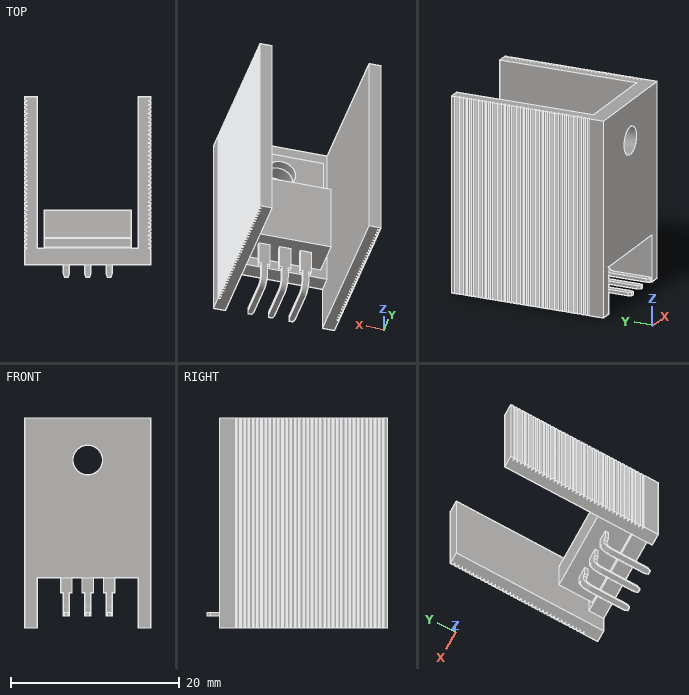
import cadquery as cq
import math

SINK_WIDTH = 15.0
SINK_DEPTH = 20.0
SINK_HEIGHT = 25.0
WALL = 1.5
BASE = 2.0
NOTCH_HEIGHT = 6.0
INNER_WIDTH = SINK_WIDTH - 2 * WALL

GROOVE_PITCH = 0.5
GROOVE_DEPTH = 0.3
GROOVE_ANGLE = 35.0
GROOVE_COUNT = 36
GROOVE_MOUTH = 2 * GROOVE_DEPTH * math.tan(math.radians(GROOVE_ANGLE / 2))

HOLE_DIAMETER = 3.5
HOLE_HEIGHT = 20.0

PACKAGE_WIDTH = 10.4
PACKAGE_THICKNESS = 4.5
PACKAGE_BOTTOM = 7.25
PACKAGE_TOP = 16.5
PACKAGE_DRAFT = 7.0
TAB_THICKNESS = 1.25
TAB_TOP = 22.75
TAB_CHAMFER = 0.1
TAB_FRONT = BASE + TAB_THICKNESS
PACKAGE_FRONT = BASE + PACKAGE_THICKNESS

LEAD_PITCH = 2.55
LEAD_COUNT = 3
LEAD_WIDTH = 0.75
LEAD_THICKNESS = 0.42
LEAD_BOTTOM = 1.45
LEAD_BACK = 4.85
LEAD_TIP = -1.5
BEND_INNER_RADIUS = 0.98
BEND_OUTER_RADIUS = BEND_INNER_RADIUS + LEAD_THICKNESS
SHOULDER_WIDTH = 1.38
SHOULDER_BOTTOM = 4.2
TIP_TAPER_LENGTH = 0.45
TIP_TAPER_SIDE = 0.15


def box(x_size, y_range, z_range):
    """Block centred on X = 0 that spans the given Y and Z ranges."""
    (y0, y1), (z0, z1) = y_range, z_range
    block = cq.Workplane("XY").box(x_size, y1 - y0, z1 - z0, centered=(True, False, False))
    return block.translate((0, y0, z0))


def screw_hole(y_end):
    """Cylinder along Y from Y = 0, the outer face of the base, to y_end."""
    return cq.Workplane("XZ").center(0, HOLE_HEIGHT).circle(HOLE_DIAMETER / 2).extrude(-y_end)


def sink_profile():
    """Plan outline of the U, with the grooves cut into both outer sides."""
    half = SINK_WIDTH / 2
    right_half = [(half, 0)]
    for i in range(GROOVE_COUNT):
        y = BASE + i * GROOVE_PITCH
        right_half += [
            (half, y - GROOVE_MOUTH / 2),
            (half - GROOVE_DEPTH, y),
            (half, y + GROOVE_MOUTH / 2),
        ]
    right_half += [
        (half, SINK_DEPTH),
        (INNER_WIDTH / 2, SINK_DEPTH),
        (INNER_WIDTH / 2, BASE),
    ]
    left_half = [(-x, y) for x, y in reversed(right_half)]
    return right_half + left_half


def make_heatsink():
    """Grooved U with the base cut short at the bottom, so that it stands on its walls."""
    body = cq.Workplane("XY").polyline(sink_profile()).close().extrude(SINK_HEIGHT)
    notch = box(INNER_WIDTH, (0, BASE), (0, NOTCH_HEIGHT))
    return body.cut(notch).cut(screw_hole(BASE))


def make_package():
    """Moulded block whose top slopes down away from the tab."""
    drop = (PACKAGE_FRONT - TAB_FRONT) * math.tan(math.radians(PACKAGE_DRAFT))
    side = [
        (BASE, PACKAGE_BOTTOM),
        (PACKAGE_FRONT, PACKAGE_BOTTOM),
        (PACKAGE_FRONT, PACKAGE_TOP - drop),
        (TAB_FRONT, PACKAGE_TOP),
        (BASE, PACKAGE_TOP),
    ]
    return cq.Workplane("YZ").polyline(side).close().extrude(PACKAGE_WIDTH / 2, both=True)


def make_tab():
    """Metal plate against the base, with chamfered top edges and a screw hole."""
    plate = box(PACKAGE_WIDTH, (BASE, TAB_FRONT), (PACKAGE_BOTTOM, TAB_TOP))
    plate = plate.faces(">Z").edges("|X").chamfer(TAB_CHAMFER)
    return plate.cut(screw_hole(TAB_FRONT))


def make_lead():
    """Lead at X = 0: a wide shoulder, a bend, and a tapered tip that points to -Y."""
    lead_front = LEAD_BACK - LEAD_THICKNESS
    lead_top = LEAD_BOTTOM + LEAD_THICKNESS
    bend_y = lead_front - BEND_INNER_RADIUS
    bend_z = lead_top + BEND_INNER_RADIUS
    diagonal = math.sqrt(0.5)
    strip = (
        cq.Workplane("YZ")
        .moveTo(LEAD_TIP, LEAD_BOTTOM)
        .lineTo(bend_y, LEAD_BOTTOM)
        .threePointArc(
            (bend_y + BEND_OUTER_RADIUS * diagonal, bend_z - BEND_OUTER_RADIUS * diagonal),
            (LEAD_BACK, bend_z),
        )
        .lineTo(LEAD_BACK, PACKAGE_BOTTOM)
        .lineTo(lead_front, PACKAGE_BOTTOM)
        .lineTo(lead_front, bend_z)
        .threePointArc(
            (bend_y + BEND_INNER_RADIUS * diagonal, bend_z - BEND_INNER_RADIUS * diagonal),
            (bend_y, lead_top),
        )
        .lineTo(LEAD_TIP, lead_top)
        .close()
        .extrude(LEAD_WIDTH / 2, both=True)
    )
    for side in (-1, 1):
        edge = side * LEAD_WIDTH / 2
        corner = (
            cq.Workplane("XY")
            .workplane(offset=LEAD_BOTTOM)
            .polyline([
                (edge, LEAD_TIP),
                (edge, LEAD_TIP + TIP_TAPER_LENGTH),
                (edge - side * TIP_TAPER_SIDE, LEAD_TIP),
            ])
            .close()
            .extrude(LEAD_THICKNESS)
        )
        strip = strip.cut(corner)
    shoulder = box(SHOULDER_WIDTH, (lead_front, LEAD_BACK), (SHOULDER_BOTTOM, PACKAGE_BOTTOM))
    return strip.union(shoulder)


def make_transistor():
    """Package, tab and leads joined into one body."""
    body = make_package().union(make_tab())
    lead = make_lead()
    for i in range(LEAD_COUNT):
        x = (i - (LEAD_COUNT - 1) / 2) * LEAD_PITCH
        body = body.union(lead.translate((x, 0, 0)))
    return body


heatsink = make_heatsink()
transistor = make_transistor()

result = cq.Compound.makeCompound([heatsink.val(), transistor.val()])